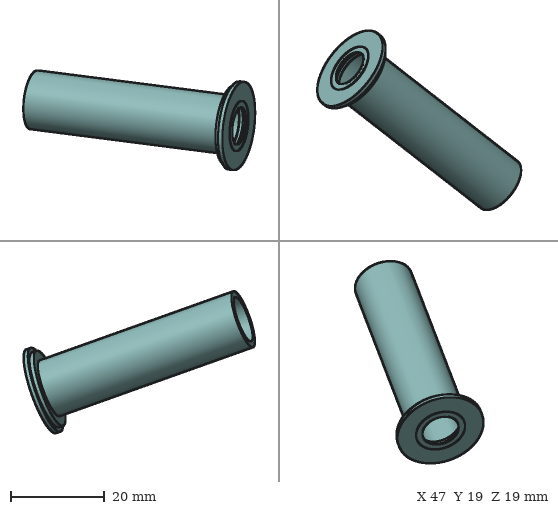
import cadquery as cq

total_length = 47.0

tube_diameter = 12.7
shoulder_diameter = 17.0
flange_diameter = 19.0
lip_diameter = 10.8
shoulder_thickness = 1.0
flange_thickness = 1.0
lip_height = 0.1

main_bore_diameter = 10.0
inner_bore_diameter = 9.6
outlet_diameter = 8.0

flange_face = total_length - lip_height
flange_start = flange_face - flange_thickness
shoulder_start = flange_start - shoulder_thickness

first_cone_end = shoulder_start + (main_bore_diameter - inner_bore_diameter) / 2
second_cone_end = flange_start + (inner_bore_diameter - outlet_diameter) / 2

half_section = [
    (0, main_bore_diameter / 2),
    (0, tube_diameter / 2),
    (shoulder_start, tube_diameter / 2),
    (shoulder_start, shoulder_diameter / 2),
    (flange_start, shoulder_diameter / 2),
    (flange_start, flange_diameter / 2),
    (flange_face, flange_diameter / 2),
    (flange_face, lip_diameter / 2),
    (total_length, lip_diameter / 2),
    (total_length, outlet_diameter / 2),
    (second_cone_end, outlet_diameter / 2),
    (flange_start, inner_bore_diameter / 2),
    (first_cone_end, inner_bore_diameter / 2),
    (shoulder_start, main_bore_diameter / 2),
]

result = (
    cq.Workplane("XY")
    .polyline(half_section)
    .close()
    .revolve(360, (0, 0, 0), (1, 0, 0))
)